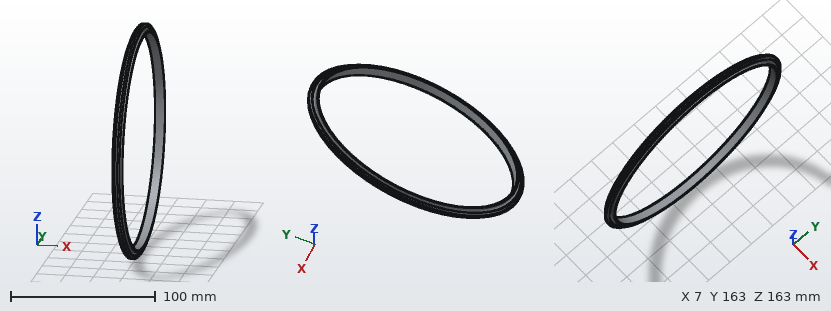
import cadquery as cq

bore_radius = 151.0 / 2
band_radius = 153.0 / 2
neck_top_radius = 79.0
barb_bottom_radius = 79.7
barb_top_radius = 80.0
crown_radius = 163 / 2

band_width = 7.0
neck_width = 2.6
barb_width = 4.4
crown_width = 1.8

foot_fillet = 0.5

band_side = [
    (band_width / 2, bore_radius),
    (band_width / 2, band_radius),
    (neck_width / 2 + foot_fillet, band_radius),
]
rib_side = [
    (neck_width / 2, band_radius + foot_fillet),
    (neck_width / 2, neck_top_radius),
    (barb_width / 2, barb_bottom_radius),
    (barb_width / 2, barb_top_radius),
    (crown_width / 2, crown_radius),
]


def mirrored(points):
    """Reflect points across the mid-plane, reversed to continue the outline."""
    return [(-x, radius) for x, radius in reversed(points)]


result = (
    cq.Workplane("XY")
    .polyline(band_side)
    .radiusArc(rib_side[0], foot_fillet)
    .polyline(rib_side + mirrored(rib_side))
    .radiusArc(mirrored(band_side)[0], foot_fillet)
    .polyline(mirrored(band_side))
    .close()
    .revolve(360, (0, 0, 0), (1, 0, 0))
)